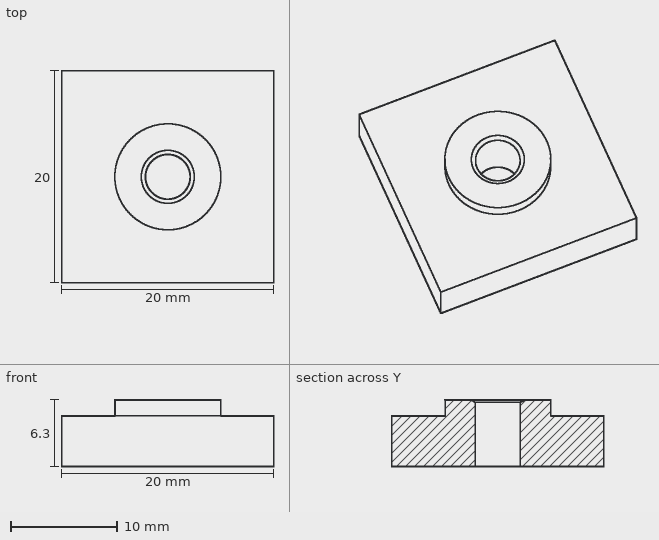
import cadquery as cq

plate_side = 20.0
plate_thickness = 4.8

boss_diameter = 10.0
boss_height = 1.5

hole_diameter = 4.2
countersink_diameter = 5.0
countersink_angle = 120.0


def make_plate():
    """Square plate centred on the Z axis, standing on Z = 0."""
    return cq.Workplane("XY").rect(plate_side, plate_side).extrude(plate_thickness)


def add_boss(body):
    """Round boss at the centre of the plate's upper face."""
    return body.faces(">Z").workplane().circle(boss_diameter / 2).extrude(boss_height)


def cut_hole(body):
    """Hole through boss and plate, countersunk at the top of the boss."""
    return body.faces(">Z").workplane().cskHole(hole_diameter, countersink_diameter, countersink_angle)


result = cut_hole(add_boss(make_plate()))